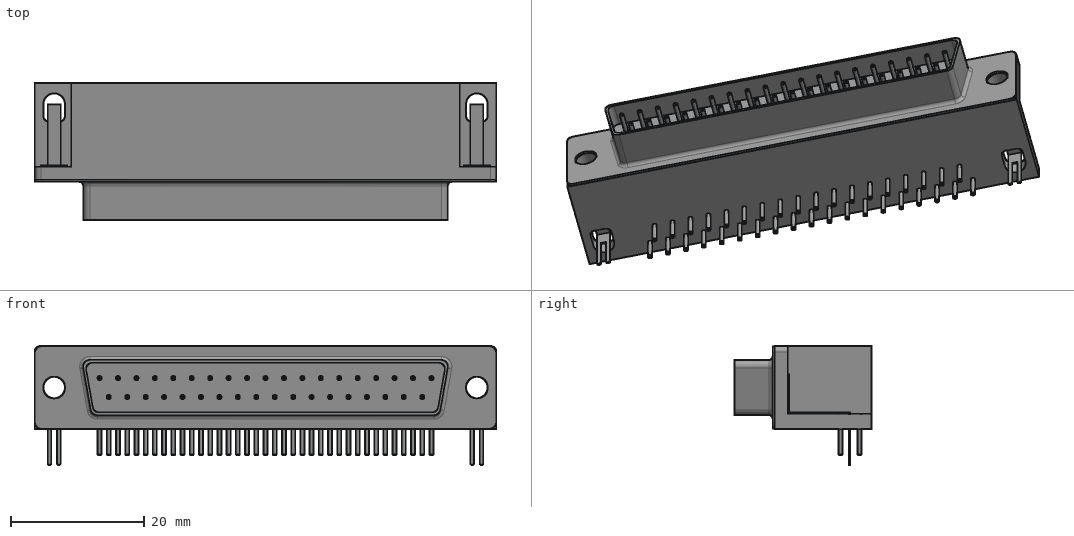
import cadquery as cq
import math


flange_width = 69.4
flange_height = 12.5
flange_depth = 2.3
flange_corner_radius = 0.9
plate_thickness = 0.35
plate_inset = 0.05
plate_corner_radius = 1.0
body_width = 58.3
body_depth = 14.9
foot_thickness = 2.3
mid_height = flange_height / 2

hole_spacing = 63.5
hole_diameter = 3.2
plate_hole_diameter = 3.3

total_depth = 20.64
shell_length = total_depth - body_depth
shell_width = 54.8
shell_height = 8.3
shell_slant = math.radians(10)
shell_corner_radius = 1.0
shell_wall = 0.45
shell_inner_corner_radius = 0.9
shell_root_fillet = 0.55
shell_floor_y = -2.3

long_row_count = 19
short_row_count = 18
contact_pitch = 2.77
row_spacing = 2.84
contact_diameter = 0.64
contact_tip_y = -5.6
contact_end_chamfer = 0.18
tail_length = 3.95
tail_middle_y = body_depth - 3.25

strap_thickness = 0.22
strap_width = 2.0
strap_bend_radius = 0.2
strap_eye_diameter = 4.0
total_height = 17.9
leg_length = total_height - flange_height
leg_gap = 0.8
leg_tip_chamfer = 0.2
strap_rear_y = body_depth - 3.2
slot_width = hole_diameter
slot_rear_y = body_depth - 1.6
slot_front_y = body_depth - 5.8
slot_corner_radius = 0.8


def box(width, y_start, y_end, z_start, z_end, x_middle=0):
    """Box centred on x_middle between the given Y and Z limits."""
    return (
        cq.Workplane("XY", origin=(x_middle, 0, z_start))
        .moveTo(0, (y_start + y_end) / 2)
        .rect(width, y_end - y_start)
        .extrude(z_end - z_start)
    )


def cylinder_along_y(diameter, x, z, y_start, y_end):
    """Cylinder parallel to Y."""
    return cq.Workplane("XZ", origin=(x, y_start, z)).circle(diameter / 2).extrude(y_start - y_end)


def shell_prism(inset, corner_radius, y_start, y_end):
    """Rounded D-shaped prism whose sides lie the given distance inside the shell's outer surface."""
    half_height = shell_height / 2 - inset
    corner_overhang = corner_radius * (math.tan(math.pi / 4 + shell_slant / 2) - 1)
    half_top = shell_width / 2 - inset + corner_overhang
    half_bottom = half_top - 2 * half_height * math.tan(shell_slant)
    return (
        cq.Workplane("XZ", origin=(0, y_start, mid_height))
        .polyline(
            [
                (-half_top, half_height),
                (half_top, half_height),
                (half_bottom, -half_height),
                (-half_bottom, -half_height),
            ]
        )
        .close()
        .extrude(y_start - y_end)
        .edges("|Y")
        .fillet(corner_radius)
    )


def make_housing():
    """Plastic housing with its flange and the two feet on the board."""
    flange = box(flange_width, plate_thickness, flange_depth, 0, flange_height)
    flange = flange.edges("|Y and >Z").fillet(flange_corner_radius)
    body = box(body_width, plate_thickness, body_depth, 0, flange_height)
    foot = box(flange_width, plate_thickness, body_depth, 0, foot_thickness)
    return flange.union(body).union(foot)


def make_plate_and_shell():
    """Metal plate in front of the flange with the filled D-shaped shell standing on it."""
    plate_width = flange_width - 2 * plate_inset
    plate = box(plate_width, 0, plate_thickness, plate_inset, flange_height - plate_inset)
    plate = plate.edges("|Y").fillet(plate_corner_radius)
    shell = shell_prism(0, shell_corner_radius, plate_thickness, -shell_length)
    root_edges = cq.selectors.BoxSelector(
        (-body_width / 2, -plate_thickness / 2, foot_thickness / 2),
        (body_width / 2, plate_thickness / 2, flange_height - foot_thickness / 2),
    )
    return plate.union(shell).edges(root_edges).fillet(shell_root_fillet)


def make_contact(x, z, tail_y):
    """Contact pin and its solder tail, joined inside the housing."""
    pin = cylinder_along_y(contact_diameter, x, z, contact_tip_y, tail_y)
    pin = pin.faces("<Y").chamfer(contact_end_chamfer)
    tail = (
        cq.Workplane("XY", origin=(x, tail_y, -tail_length))
        .circle(contact_diameter / 2)
        .extrude(tail_length + z)
        .faces("<Z")
        .chamfer(contact_end_chamfer)
    )
    return pin.union(tail)


def make_contact_row(count, side):
    """Row of contacts; side is +1 for the upper, rear row and -1 for the lower, front row."""
    row = cq.Workplane("XY")
    pin_z = mid_height + side * row_spacing / 2
    tail_y = tail_middle_y + side * row_spacing / 2
    for index in range(count):
        x = (index - (count - 1) / 2) * contact_pitch
        row.add(make_contact(x, pin_z, tail_y))
    return row


def make_slot(x):
    """Cutter for the round-ended slot through a foot around the strap's bend."""
    arc_y = slot_rear_y - slot_width / 2
    slot = box(slot_width, slot_front_y, arc_y, 0, foot_thickness, x)
    slot = slot.edges("|Z and <Y").fillet(slot_corner_radius)
    round_end = cq.Workplane("XY").center(x, arc_y).circle(slot_width / 2).extrude(foot_thickness)
    return slot.union(round_end)


def make_board_lock(x):
    """Strap with an eye behind the flange, a run along the foot and two legs."""
    strap_top = foot_thickness + strap_thickness
    eye_rear_y = flange_depth + strap_thickness
    eye = cylinder_along_y(strap_eye_diameter, x, mid_height, flange_depth, eye_rear_y)
    neck = box(strap_eye_diameter, flange_depth, eye_rear_y, foot_thickness, mid_height, x)
    run = box(strap_width, flange_depth, strap_rear_y, foot_thickness, strap_top, x)
    lock = eye.union(neck).union(run)
    leg_width = (strap_width - leg_gap) / 2
    drop = box(strap_width, strap_rear_y - strap_thickness, strap_rear_y, 0, strap_top, x)
    lock = lock.union(drop)
    bend_edge = cq.selectors.NearestToPointSelector((x, strap_rear_y, strap_top))
    lock = lock.edges(bend_edge).fillet(strap_bend_radius)
    for side in (-1, 1):
        leg_x = x + side * (leg_gap + leg_width) / 2
        leg = box(leg_width, strap_rear_y - strap_thickness, strap_rear_y, -leg_length, 0, leg_x)
        lock = lock.union(leg.edges("|Y and <Z").chamfer(leg_tip_chamfer))
    return lock


def make_hole(x):
    """Cutter for a mounting hole, slightly wider in the metal plate than behind it."""
    hole = cylinder_along_y(hole_diameter, x, mid_height, 0, flange_depth + strap_thickness)
    return hole.union(cylinder_along_y(plate_hole_diameter, x, mid_height, 0, plate_thickness))


result = make_housing().union(make_plate_and_shell())
result = result.cut(shell_prism(shell_wall, shell_inner_corner_radius, shell_floor_y, -shell_length))
for hole_x in (-hole_spacing / 2, hole_spacing / 2):
    result = result.cut(make_slot(hole_x))
    result = result.union(make_board_lock(hole_x))
    result = result.cut(make_hole(hole_x))
result = result.union(make_contact_row(long_row_count, 1))
result = result.union(make_contact_row(short_row_count, -1))